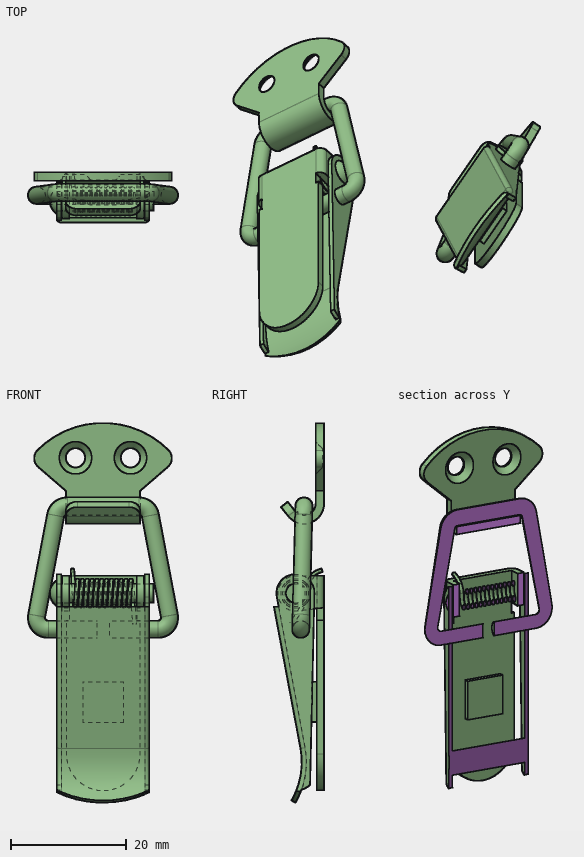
import cadquery as cq
import math


hinge_depth = 4.975
catch_sheet = 1.5
base_sheet = 1.3
pin_radius = 1.65
bail_wire_radius = 1.5
running_gap = 0.07
cut_margin = 1.0

catch_top = 29.44
catch_crown_radius = 16.0
catch_corner_radius = 2.0
shoulder_slope = math.radians(40.8)
neck_half_width = 6.43
neck_top = 17.68
hook_inner_radius = 2.0
hook_outer_radius = hook_inner_radius + catch_sheet
hook_axis_height = 15.5
hook_lip_angle = 51.5
hook_lip_length = 2.0
lip_corner_radius = 1.95
screw_spacing = 9.5
screw_height = 23.4
screw_hole_diameter = 3.3
countersink_diameter = 5.6
countersink_angle = 90.0

bail_width = 25.99
bail_bend_radius = 2.0
bail_top_half_length = 6.22
bail_top_height = hook_axis_height - (hook_inner_radius - bail_wire_radius) + running_gap
bail_top_depth = hook_outer_radius
bail_foot_height = -6.23
bail_foot_depth = 4.05
bail_foot_gap = 2.2

lever_half_width = 8.0
lever_sheet = 0.8
lever_bend_radius = 0.75
lever_head_radius = 3.3
lever_face_offset = lever_head_radius + lever_sheet
lever_face_slope = math.radians(10.6)
lever_back_slope = math.radians(1.3)
lever_face_top = -2.3
lever_face_bottom = -26.8
lever_bottom = -36.22
lever_curl_radius = 13.2
lever_tip_radius = 16.8
lever_wall_bottom = -34.0
lever_corner_top = -33.15
lever_corner_width = 0.55
lever_corner_drop = 0.4

base_half_width = 6.35
base_bottom = -34.1
ear_outer = 7.1
ear_radius = 3.05
ear_bottom = -2.5
relief_bottom = -4.67
stop_top = -15.3
stop_length = 7.0
stop_depth = 2.2

pin_end = 8.75
head_radius = 2.25
head_height = 1.2

spring_wire_radius = 0.33
spring_radius = 2.2
spring_pitch = 0.84
spring_start_x = -5.03
spring_full_turns = 12
hook_rise = 1.2
hook_bend_radius = 2.74
hook_bend_angle = 70.0
hook_end_length = 0.64


def side_sketch(x=0.0):
    """Workplane across X whose axes are depth and Z; it extrudes towards -X."""
    return cq.Workplane(cq.Plane(origin=(x, 0, 0), xDir=(0, -1, 0), normal=(-1, 0, 0)))


def cross_cylinder(radius, x_from, x_to, depth, height):
    """Cylinder along X."""
    return side_sketch(x_to).center(depth, height).circle(radius).extrude(x_to - x_from)


def make_catch():
    flare = catch_crown_radius - neck_half_width
    shoulder_end = neck_top + flare * math.tan(shoulder_slope)
    outline = (
        cq.Workplane("XZ")
        .moveTo(-neck_half_width, hook_axis_height)
        .lineTo(-neck_half_width, neck_top)
        .lineTo(-catch_crown_radius, shoulder_end)
        .lineTo(-catch_crown_radius, catch_top)
        .lineTo(catch_crown_radius, catch_top)
        .lineTo(catch_crown_radius, shoulder_end)
        .lineTo(neck_half_width, neck_top)
        .lineTo(neck_half_width, hook_axis_height)
        .close()
        .extrude(catch_sheet)
    )
    crown = (
        cq.Workplane("XZ")
        .center(0, catch_top - catch_crown_radius)
        .circle(catch_crown_radius)
        .extrude(catch_sheet)
    )
    head = outline.intersect(crown).edges("|Y").edges("<X or >X").fillet(catch_corner_radius)

    lip_angle = math.radians(hook_lip_angle)
    normal = (math.sin(lip_angle), -math.cos(lip_angle))
    along = (math.cos(lip_angle), math.sin(lip_angle))

    def at(radius, lip=0.0):
        return (
            hook_outer_radius + radius * normal[0] + lip * along[0],
            hook_axis_height + radius * normal[1] + lip * along[1],
        )

    def middle(radius):
        turn = math.pi + (math.pi / 2 + lip_angle) / 2
        return (
            hook_outer_radius + radius * math.cos(turn),
            hook_axis_height + radius * math.sin(turn),
        )

    hook = (
        side_sketch(neck_half_width)
        .moveTo(0, hook_axis_height)
        .threePointArc(middle(hook_outer_radius), at(hook_outer_radius))
        .lineTo(*at(hook_outer_radius, hook_lip_length))
        .lineTo(*at(hook_inner_radius, hook_lip_length))
        .lineTo(*at(hook_inner_radius))
        .threePointArc(middle(hook_inner_radius), (catch_sheet, hook_axis_height))
        .close()
        .extrude(2 * neck_half_width)
    )
    tip = at((hook_outer_radius + hook_inner_radius) / 2, hook_lip_length)
    for x in (-neck_half_width, neck_half_width):
        hook = hook.edges(cq.NearestToPointSelector((x, -tip[0], tip[1]))).fillet(lip_corner_radius)

    catch = head.union(hook)
    screws = [(-screw_spacing / 2, screw_height), (screw_spacing / 2, screw_height)]
    return (
        catch.copyWorkplane(cq.Workplane("XZ", origin=(0, -catch_sheet, 0)))
        .pushPoints(screws)
        .cskHole(screw_hole_diameter, countersink_diameter, countersink_angle)
    )


def make_bail():
    """Bent wire loop in a plane that leans forward towards its feet."""
    rise = bail_top_height - bail_foot_height
    lean = bail_foot_depth - bail_top_depth
    height = math.hypot(rise, lean)
    plane = cq.Plane(
        origin=(0, -bail_foot_depth, bail_foot_height), xDir=(1, 0, 0), normal=(0, -rise, lean)
    )
    foot_x = bail_width / 2 - bail_wire_radius - bail_bend_radius
    r = bail_bend_radius
    foot_centre = (foot_x, r)
    top_centre = (bail_top_half_length, height - r)
    leg_angle = math.atan2(foot_x - bail_top_half_length, height - 2 * r)

    def on_bend(centre, angle, side):
        return (side * (centre[0] + r * math.cos(angle)), centre[1] + r * math.sin(angle))

    foot_middle = (leg_angle - math.pi / 2) / 2
    top_middle = (leg_angle + math.pi / 2) / 2
    path = (
        cq.Workplane(plane)
        .moveTo(-bail_foot_gap / 2, 0)
        .lineTo(-foot_x, 0)
        .threePointArc(on_bend(foot_centre, foot_middle, -1), on_bend(foot_centre, leg_angle, -1))
        .lineTo(*on_bend(top_centre, leg_angle, -1))
        .threePointArc(on_bend(top_centre, top_middle, -1), (-bail_top_half_length, height))
        .lineTo(bail_top_half_length, height)
        .threePointArc(on_bend(top_centre, top_middle, 1), on_bend(top_centre, leg_angle, 1))
        .lineTo(*on_bend(foot_centre, leg_angle, 1))
        .threePointArc(on_bend(foot_centre, foot_middle, 1), (foot_x, 0))
        .lineTo(bail_foot_gap / 2, 0)
    )
    start = side_sketch(-bail_foot_gap / 2).center(bail_foot_depth, bail_foot_height)
    return start.circle(bail_wire_radius).sweep(path)


def make_lever():
    cos_f, sin_f = math.cos(lever_face_slope), math.sin(lever_face_slope)
    cos_b, sin_b = math.cos(lever_back_slope), math.sin(lever_back_slope)

    def face_depth(offset, z):
        """Depth, at height z, of the line parallel to the face at an offset from the hinge."""
        return hinge_depth + offset / cos_f + z * sin_f / cos_f

    def back_depth(z):
        return hinge_depth - lever_head_radius / cos_b - z * sin_b / cos_b

    curl_depth = face_depth(lever_face_offset, lever_face_bottom) + lever_curl_radius * cos_f
    curl_height = lever_face_bottom - lever_curl_radius * sin_f
    inner_curl_radius = lever_curl_radius + lever_sheet
    tip_angle = math.asin((curl_height - lever_bottom) / inner_curl_radius)

    def on_curl(radius, angle):
        return (curl_depth - radius * math.cos(angle), curl_height - radius * math.sin(angle))

    curl_middle = (tip_angle - lever_face_slope) / 2
    wall_end_angle = math.asin((curl_height - lever_wall_bottom) / inner_curl_radius)

    envelope = (
        side_sketch(lever_half_width)
        .moveTo(face_depth(lever_head_radius, lever_face_top), lever_face_top)
        .lineTo(face_depth(lever_face_offset, lever_face_top), lever_face_top)
        .lineTo(*on_curl(lever_curl_radius, -lever_face_slope))
        .threePointArc(on_curl(lever_curl_radius, curl_middle), on_curl(lever_curl_radius, tip_angle))
        .lineTo(*on_curl(inner_curl_radius, tip_angle))
        .threePointArc(
            on_curl(inner_curl_radius, (tip_angle + wall_end_angle) / 2),
            on_curl(inner_curl_radius, wall_end_angle),
        )
        .threePointArc(
            (back_depth(lever_corner_top) + lever_corner_width, lever_corner_top - lever_corner_drop),
            (back_depth(lever_corner_top), lever_corner_top),
        )
        .lineTo(hinge_depth - lever_head_radius * cos_b, -lever_head_radius * sin_b)
        .threePointArc(
            (hinge_depth, lever_head_radius),
            (hinge_depth + lever_head_radius * cos_f, -lever_head_radius * sin_f),
        )
        .close()
        .extrude(2 * lever_half_width)
    )
    face_middle_z = (lever_face_top + lever_face_bottom) / 2
    face_middle = (face_depth(lever_face_offset, face_middle_z), face_middle_z)
    edges = []
    for x in (-lever_half_width, lever_half_width):
        for depth, z in (face_middle, on_curl(lever_curl_radius, curl_middle)):
            edges += envelope.edges(cq.NearestToPointSelector((x, -depth, z))).vals()
    envelope = envelope.newObject(edges).fillet(lever_bend_radius)

    inner_offset = lever_face_offset - lever_sheet
    above = lever_head_radius + cut_margin
    inner_half_width = lever_half_width - lever_sheet
    channel = (
        side_sketch(inner_half_width)
        .moveTo(face_depth(inner_offset, above), above)
        .lineTo(*on_curl(inner_curl_radius, -lever_face_slope))
        .threePointArc(on_curl(inner_curl_radius, curl_middle), on_curl(inner_curl_radius, tip_angle))
        .lineTo(0, lever_bottom)
        .lineTo(0, above)
        .close()
        .extrude(2 * inner_half_width)
    )
    lever = envelope.cut(channel)

    tip_depth, tip_height = on_curl(lever_curl_radius, tip_angle)
    tip_plane = cq.Plane(
        origin=(0, -tip_depth, tip_height),
        xDir=(1, 0, 0),
        normal=(0, -math.cos(tip_angle), math.sin(tip_angle)),
    )
    half = lever_half_width + cut_margin
    side_rise = lever_tip_radius - math.sqrt(lever_tip_radius**2 - half**2)
    trim = (
        cq.Workplane(tip_plane)
        .moveTo(-half, side_rise)
        .threePointArc((0, 0), (half, side_rise))
        .lineTo(half, -half)
        .lineTo(-half, -half)
        .close()
        .extrude(lever_sheet + cut_margin, both=True)
    )
    lever = lever.cut(trim)

    for radius, depth, height in (
        (pin_radius, hinge_depth, 0),
        (bail_wire_radius, bail_foot_depth, bail_foot_height),
    ):
        lever = lever.cut(cross_cylinder(radius, -lever_half_width, lever_half_width, depth, height))
    return lever


def make_base():
    relief_half_width = ear_outer - base_sheet
    round_centre = base_bottom + base_half_width
    plate = (
        cq.Workplane("XZ")
        .moveTo(-base_half_width, round_centre)
        .threePointArc((0, base_bottom), (base_half_width, round_centre))
        .lineTo(base_half_width, relief_bottom)
        .lineTo(relief_half_width, relief_bottom)
        .lineTo(relief_half_width, ear_radius)
        .lineTo(-relief_half_width, ear_radius)
        .lineTo(-relief_half_width, relief_bottom)
        .lineTo(-base_half_width, relief_bottom)
        .close()
        .extrude(base_sheet)
    )
    ears = (
        side_sketch(ear_outer)
        .moveTo(0, ear_bottom)
        .lineTo(0, ear_radius)
        .lineTo(hinge_depth, ear_radius)
        .threePointArc((hinge_depth + ear_radius, 0), (hinge_depth, -ear_radius))
        .close()
        .extrude(2 * ear_outer)
        .edges("|Z and >Y")
        .fillet(base_sheet)
    )
    ear_reach = hinge_depth + ear_radius
    between = cq.Workplane("XY").box(2 * relief_half_width, 2 * ear_reach + cut_margin, 2 * ear_reach)
    stop = (
        cq.Workplane("XZ")
        .center(0, stop_top - stop_length / 2)
        .rect(stop_length, stop_length)
        .extrude(stop_depth)
    )
    base = plate.union(ears.cut(between)).union(stop)
    return base.cut(cross_cylinder(pin_radius, -ear_outer, ear_outer, hinge_depth, 0))


def make_pin():
    shank = cross_cylinder(pin_radius, -lever_half_width, pin_end, hinge_depth, 0)
    dome_radius = (head_radius**2 + head_height**2) / (2 * head_height)
    dome_centre = -lever_half_width - head_height + dome_radius
    half_angle = math.asin(head_radius / dome_radius) / 2
    head = (
        cq.Workplane("XY", origin=(0, -hinge_depth, 0))
        .moveTo(-lever_half_width, 0)
        .lineTo(-lever_half_width, head_radius)
        .threePointArc(
            (dome_centre - dome_radius * math.cos(half_angle), dome_radius * math.sin(half_angle)),
            (-lever_half_width - head_height, 0),
        )
        .close()
        .revolve(360, (0, 0, 0), (1, 0, 0))
    )
    return shank.union(head)


def make_spring():
    """Torsion spring on the pin: one leg hooks over the base, the other bears on a bail foot."""
    foot_back = hinge_depth - bail_foot_depth
    foot_distance = math.hypot(foot_back, bail_foot_height)
    foot_angle = math.atan2(-bail_foot_height, foot_back)
    contact_radii = spring_radius + bail_wire_radius + spring_wire_radius + running_gap
    end_angle = foot_angle - math.acos(contact_radii / foot_distance)
    lower_leg_length = math.sqrt(foot_distance**2 - contact_radii**2)

    frame = cq.Plane(
        origin=(spring_start_x, -hinge_depth, 0), xDir=(0, 1, 0), normal=(1, 0, 0)
    )
    coil_length = spring_pitch * (spring_full_turns + end_angle / (2 * math.pi))
    lead = spring_pitch / (2 * math.pi)
    coil = cq.Wire.makeHelix(spring_pitch, coil_length, spring_radius, lefthand=True)

    coil_start = cq.Vector(spring_radius, 0, 0)
    start_direction = cq.Vector(0, -spring_radius, lead).normalized()
    coil_end = cq.Vector(
        spring_radius * math.cos(end_angle), -spring_radius * math.sin(end_angle), coil_length
    )
    end_direction = cq.Vector(
        -spring_radius * math.sin(end_angle), -spring_radius * math.cos(end_angle), lead
    ).normalized()
    lower_end = coil_end + end_direction * lower_leg_length

    def upper_leg(back, rise):
        """Point a distance behind and above the start of the coil."""
        return coil_start + cq.Vector(back, 0, 0) - start_direction * rise

    def on_hook(degrees, beyond=0.0):
        a = math.radians(degrees)
        back = hook_bend_radius * (1 - math.cos(a)) + beyond * math.sin(a)
        rise = hook_rise + hook_bend_radius * math.sin(a) + beyond * math.cos(a)
        return upper_leg(back, rise)

    hook_tip = on_hook(hook_bend_angle, hook_end_length)
    hook_bend_end = on_hook(hook_bend_angle)
    hook_bend_start = on_hook(0)
    path = cq.Wire.assembleEdges(
        [
            cq.Edge.makeLine(hook_tip, hook_bend_end),
            cq.Edge.makeThreePointArc(hook_bend_end, on_hook(hook_bend_angle / 2), hook_bend_start),
            cq.Edge.makeLine(hook_bend_start, coil_start),
            *coil.Edges(),
            cq.Edge.makeLine(coil_end, lower_end),
        ]
    )
    section = cq.Workplane(cq.Plane(origin=hook_tip, normal=hook_bend_end - hook_tip))
    spring = section.circle(spring_wire_radius).sweep(cq.Workplane(obj=path), isFrenet=True)
    return cq.Workplane(obj=spring.val().moved(frame.location))


catch = make_catch()
bail = make_bail()
lever = make_lever()
base = make_base()
pin = make_pin()
spring = make_spring()

result = cq.Compound.makeCompound(
    [catch.val(), bail.val(), lever.val(), base.val(), pin.val(), spring.val()]
)